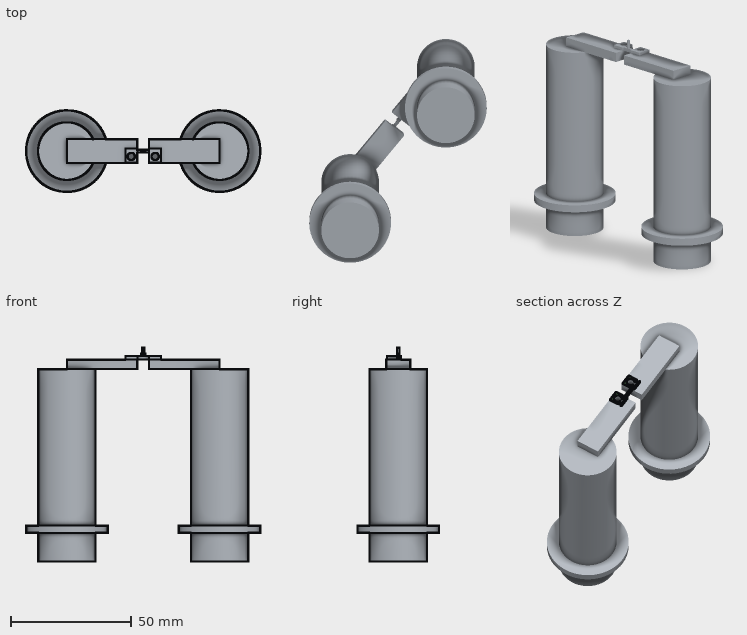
import cadquery as cq

flange_diameter = 34.0
flange_thickness = 3.0
flange_base_height = 12.0
post_diameter = 24.0
post_height = 80.0
overall_length = 97.5
post_offset = (overall_length - flange_diameter) / 2

arm_width = 10.0
arm_thickness = 4.0
arm_gap = 4.8
arm_length = post_offset - arm_gap / 2
arm_top = post_height + arm_thickness

pad_thickness = 1.5
pad_length = 5.1
pad_width = 5.9
pad_back = 1.2
pad_center_x = (arm_gap + pad_length) / 2
pad_center_y = pad_back - pad_width / 2
pad_top = arm_top + pad_thickness
pad_bore_diameter = 0.8

screw_hole_diameter = 3.0
screw_hole_x = 5.0
screw_hole_y = -2.2
screw_hole_depth = 4.5

bridge_width = 1.2
pin_diameter = 1.2
overall_height = 89.0
pin_bore_diameter = 0.4
wire_diameter = 0.4
wire_length = 1.8
wire_height = pad_top + 0.8


def disc(diameter, height, x, base_z):
    return cq.Workplane("XY", origin=(x, 0, base_z)).circle(diameter / 2).extrude(height)


def block(length, width, height, center_x, center_y, base_z):
    return cq.Workplane("XY", origin=(center_x, center_y, base_z)).rect(length, width).extrude(height)


def rod_along_x(diameter, length, center_x, center_z):
    start = (center_x - length / 2, 0, center_z)
    return cq.Workplane("YZ", origin=start).circle(diameter / 2).extrude(length)


def screw_hole(side):
    base = (side * screw_hole_x, screw_hole_y, pad_top - screw_hole_depth)
    return cq.Workplane("XY", origin=base).circle(screw_hole_diameter / 2).extrude(screw_hole_depth)


def make_support(side):
    """Flanged post with its arm and pad; side is -1 for the -X end and +1 for the +X end."""
    post = disc(post_diameter, post_height, side * post_offset, 0)
    flange = disc(flange_diameter, flange_thickness, side * post_offset, flange_base_height)
    arm_center_x = side * (arm_gap + arm_length) / 2
    arm = block(arm_length, arm_width, arm_thickness, arm_center_x, 0, post_height)
    pad = block(pad_length, pad_width, pad_thickness, side * pad_center_x, pad_center_y, arm_top)
    pad_bore = rod_along_x(pad_bore_diameter, pad_length, side * pad_center_x, arm_top + pad_thickness / 2)
    return post.union(flange).union(arm).union(pad).cut(pad_bore).cut(screw_hole(side))


def make_bridge():
    """Plain bar between the pads, carrying the upright hollow pin and its cross wire."""
    bar = block(arm_gap, bridge_width, pad_thickness, 0, 0, arm_top)
    pin = disc(pin_diameter, overall_height - pad_top, 0, pad_top)
    pin_bore = disc(pin_bore_diameter, overall_height - pad_top, 0, pad_top)
    wire = rod_along_x(wire_diameter, wire_length, 0, wire_height)
    return bar.union(pin).cut(pin_bore).union(wire)


supports = [make_support(side) for side in (-1, 1)]
bridge = make_bridge()
result = cq.Compound.makeCompound([*(support.val() for support in supports), bridge.val()])